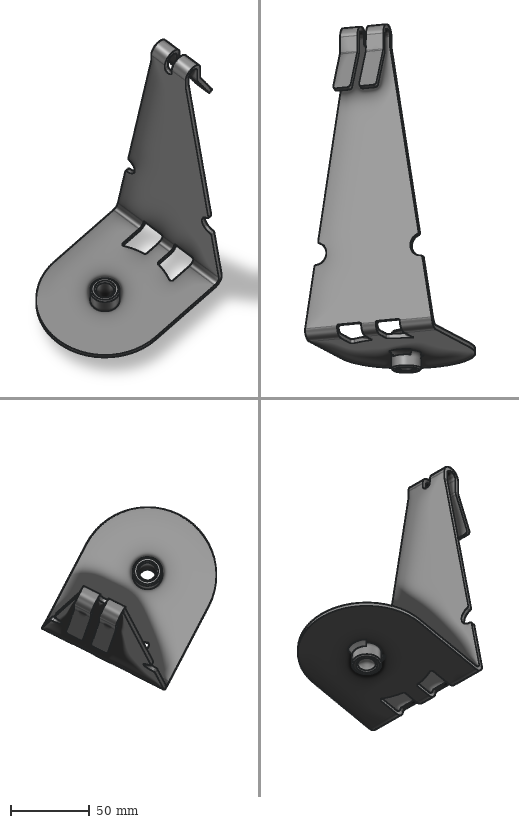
import cadquery as cq
import math

SHEET = 3.0
BASE_WIDTH = 88.0
BASE_RADIUS = BASE_WIDTH / 2
BEND_INNER = 4.0
BEND_OUTER = BEND_INNER + SHEET
TOTAL_LENGTH_Y = 129.5
TOTAL_HEIGHT = 211.0

SLEEVE_DIAMETER = 19.0
SLEEVE_HOLE_DIAMETER = 19.2
SLEEVE_BORE = 11.4
SLEEVE_LENGTH = 25.0
SLEEVE_CHAMFER = 1.0
BORE_CHAMFER = 1.0
SLEEVE_BOTTOM = (SHEET - SLEEVE_LENGTH) / 2

BEAD_LEG = 3.0
BEAD_ANGLE = 78.0

UPRIGHT_BACK = 62.7
UPRIGHT_FRONT = UPRIGHT_BACK - SHEET
HOOK_TOP = SLEEVE_BOTTOM + TOTAL_HEIGHT
HOOK_CENTRE_Y = UPRIGHT_FRONT + BEND_OUTER
HOOK_CENTRE_Z = HOOK_TOP - BEND_OUTER
HOOK_WIDTH = 30.0
HOOK_STRAIGHT = 10.3
TIP_BEND_INNER = 2.0
TIP_BEND_OUTER = TIP_BEND_INNER + SHEET
TIP_ANGLE = 25.0
TIP_CORNER = 2.1
TIP_BACK = TOTAL_LENGTH_Y - BASE_RADIUS
STRAIGHT_TOP = 13.5
TAPER_TOP = HOOK_TOP - STRAIGHT_TOP
TAPER_BOTTOM = 5.7

SLOT_WIDTH = 6.0
SLOT_DEPTH = 13.0

NOTCH_RADIUS = 7.2
NOTCH_X = 36.3
NOTCH_Z = 55.0
NOTCH_LIP = 1.5

WINDOW_OUTER_X = 21.7
WINDOW_INNER_X = 5.0
WINDOW_TOP = 7.5
WINDOW_CORNER = 1.5


def bent_strip():
    """Side profile of the bent sheet, extruded over the full width."""
    sin_tip = math.sin(math.radians(TIP_ANGLE))
    cos_tip = math.cos(math.radians(TIP_ANGLE))
    sin_half = math.sin(math.radians(TIP_ANGLE / 2))
    cos_half = math.cos(math.radians(TIP_ANGLE / 2))
    sin_45 = math.sqrt(0.5)

    arm_front = HOOK_CENTRE_Y + BEND_INNER
    arm_back = HOOK_CENTRE_Y + BEND_OUTER
    arm_end = HOOK_CENTRE_Z - HOOK_STRAIGHT
    tip_centre_y = arm_back + TIP_BEND_INNER

    def on_tip_bend(radius, sin_a, cos_a):
        return (tip_centre_y - radius * cos_a, arm_end - radius * sin_a)

    front_start = on_tip_bend(TIP_BEND_OUTER, sin_tip, cos_tip)
    back_start = on_tip_bend(TIP_BEND_INNER, sin_tip, cos_tip)
    tip_length = (TIP_BACK - back_start[0]) / sin_tip

    def along_tip(start):
        return (start[0] + tip_length * sin_tip, start[1] - tip_length * cos_tip)

    base_bend_y = UPRIGHT_BACK - BEND_OUTER

    def on_base_bend(radius):
        return (base_bend_y + radius * sin_45, BEND_OUTER - radius * sin_45)

    profile = (
        cq.Workplane("YZ", origin=(-BASE_WIDTH / 2, 0, 0))
        .moveTo(-BASE_RADIUS, 0)
        .lineTo(base_bend_y, 0)
        .threePointArc(on_base_bend(BEND_OUTER), (UPRIGHT_BACK, BEND_OUTER))
        .lineTo(UPRIGHT_BACK, HOOK_CENTRE_Z)
        .threePointArc((HOOK_CENTRE_Y, HOOK_CENTRE_Z + BEND_INNER), (arm_front, HOOK_CENTRE_Z))
        .lineTo(arm_front, arm_end)
        .threePointArc(on_tip_bend(TIP_BEND_OUTER, sin_half, cos_half), front_start)
        .lineTo(*along_tip(front_start))
        .lineTo(*along_tip(back_start))
        .lineTo(*back_start)
        .threePointArc(on_tip_bend(TIP_BEND_INNER, sin_half, cos_half), (arm_back, arm_end))
        .lineTo(arm_back, HOOK_CENTRE_Z)
        .threePointArc((HOOK_CENTRE_Y, HOOK_TOP), (UPRIGHT_FRONT, HOOK_CENTRE_Z))
        .lineTo(UPRIGHT_FRONT, BEND_OUTER)
        .threePointArc(on_base_bend(BEND_INNER), (base_bend_y, SHEET))
        .lineTo(-BASE_RADIUS, SHEET)
        .close()
    )
    return profile.extrude(BASE_WIDTH)


def front_outline():
    """Tapered outline of the upright with its side notches, as a prism along Y."""
    outline = (
        cq.Workplane("XZ", origin=(0, TIP_BACK, 0))
        .polyline([
            (-BASE_WIDTH / 2, 0),
            (BASE_WIDTH / 2, 0),
            (BASE_WIDTH / 2, TAPER_BOTTOM),
            (HOOK_WIDTH / 2, TAPER_TOP),
            (HOOK_WIDTH / 2, HOOK_TOP),
            (-HOOK_WIDTH / 2, HOOK_TOP),
            (-HOOK_WIDTH / 2, TAPER_TOP),
            (-BASE_WIDTH / 2, TAPER_BOTTOM),
        ])
        .close()
        .extrude(TOTAL_LENGTH_Y)
    )
    notches = (
        cq.Workplane("XZ", origin=(0, TIP_BACK, 0))
        .pushPoints([(-NOTCH_X, NOTCH_Z), (NOTCH_X, NOTCH_Z)])
        .circle(NOTCH_RADIUS)
        .extrude(TOTAL_LENGTH_Y)
    )
    lips = cq.selectors.BoxSelector(
        (-BASE_WIDTH, -TOTAL_LENGTH_Y, NOTCH_Z - 2 * NOTCH_RADIUS),
        (BASE_WIDTH, TOTAL_LENGTH_Y, NOTCH_Z + 2 * NOTCH_RADIUS),
    )
    return outline.cut(notches).edges("|Y").edges(lips).fillet(NOTCH_LIP)


def plan_outline():
    """Outline along Z: rounded base, full width up to the upright, hook width behind it."""
    return (
        cq.Workplane("XY")
        .moveTo(BASE_RADIUS, 0)
        .lineTo(BASE_RADIUS, UPRIGHT_BACK)
        .lineTo(HOOK_WIDTH / 2, UPRIGHT_BACK)
        .lineTo(HOOK_WIDTH / 2, TIP_BACK)
        .lineTo(-HOOK_WIDTH / 2, TIP_BACK)
        .lineTo(-HOOK_WIDTH / 2, UPRIGHT_BACK)
        .lineTo(-BASE_RADIUS, UPRIGHT_BACK)
        .lineTo(-BASE_RADIUS, 0)
        .threePointArc((0, -BASE_RADIUS), (BASE_RADIUS, 0))
        .close()
        .extrude(HOOK_TOP)
    )


def hook_slot():
    """Round-bottomed slot through the hook and the top of the upright."""
    radius = SLOT_WIDTH / 2
    round_centre = HOOK_TOP - SLOT_DEPTH + radius
    through_upright = (
        cq.Workplane("XZ", origin=(0, HOOK_CENTRE_Y, 0))
        .moveTo(-radius, HOOK_TOP)
        .lineTo(-radius, round_centre)
        .threePointArc((0, round_centre - radius), (radius, round_centre))
        .lineTo(radius, HOOK_TOP)
        .close()
        .extrude(BEND_OUTER)
    )
    between_fingers = (
        cq.Workplane("XY", origin=(0, HOOK_CENTRE_Y, 0))
        .box(SLOT_WIDTH, TIP_BACK - HOOK_CENTRE_Y, HOOK_TOP, centered=(True, False, False))
    )
    return through_upright.union(between_fingers)


def base_window():
    """Window on the +X side, its front edge an arc concentric with the sleeve."""
    def on_arc(x):
        return (x, math.sqrt(BASE_RADIUS ** 2 - x ** 2))

    window = (
        cq.Workplane("XY")
        .moveTo(*on_arc(WINDOW_INNER_X))
        .threePointArc(on_arc((WINDOW_INNER_X + WINDOW_OUTER_X) / 2), on_arc(WINDOW_OUTER_X))
        .lineTo(WINDOW_OUTER_X, UPRIGHT_BACK)
        .lineTo(WINDOW_INNER_X, UPRIGHT_BACK)
        .close()
        .extrude(WINDOW_TOP)
    )
    front_corners = window.edges("|Z").edges("not >Y")
    window = front_corners.fillet(WINDOW_CORNER)
    return window.edges("|Y and >Z").fillet(WINDOW_CORNER)


def make_bracket():
    bracket = bent_strip().intersect(front_outline()).intersect(plan_outline())
    window = base_window()
    bracket = bracket.cut(hook_slot()).cut(window).cut(window.mirror("YZ"))
    sleeve_hole = cq.Workplane("XY").circle(SLEEVE_HOLE_DIAMETER / 2).extrude(SHEET)
    bracket = bracket.cut(sleeve_hole)
    tip_face_edges = bracket.faces(">Y").edges("not |X")
    return tip_face_edges.fillet(TIP_CORNER)


def make_sleeve():
    sleeve = (
        cq.Workplane("XY", origin=(0, 0, SLEEVE_BOTTOM))
        .circle(SLEEVE_DIAMETER / 2)
        .extrude(SLEEVE_LENGTH)
        .faces("<Z or >Z")
        .edges()
        .chamfer(SLEEVE_CHAMFER)
    )
    sleeve = sleeve.faces(">Z").workplane().hole(SLEEVE_BORE)
    bore_rims = cq.selectors.RadiusNthSelector(0)
    return sleeve.edges("%CIRCLE").edges(bore_rims).chamfer(BORE_CHAMFER)


def make_weld_bead(direction):
    """Triangular fillet bead centred on the given angle around the sleeve."""
    inner = SLEEVE_DIAMETER / 2
    bead = (
        cq.Workplane("XZ")
        .polyline([(inner, 0), (inner + BEAD_LEG, 0), (inner, -BEAD_LEG)])
        .close()
        .revolve(BEAD_ANGLE, (0, 0, 0), (0, 1, 0))
    )
    return bead.rotate((0, 0, 0), (0, 0, 1), direction - BEAD_ANGLE / 2)


bracket = make_bracket()
sleeve = make_sleeve()
weld_beads = [make_weld_bead(direction) for direction in (90, 270)]

result = cq.Compound.makeCompound(
    [bracket.val(), sleeve.val(), *[bead.val() for bead in weld_beads]]
)